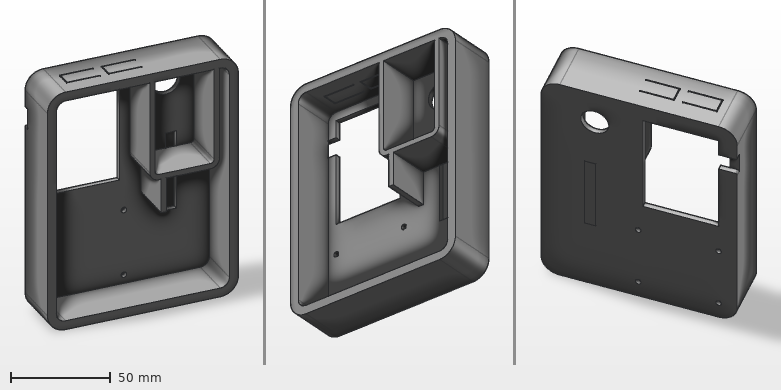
import cadquery as cq

DEPTH = 27.4
WIDTH = 105.0
HEIGHT = 135.0
CORNER_RADIUS = 10.0
WALL = 5.0
FACE = 3.0
TOP_INSIDE = HEIGHT - WALL

WINDOW_MARGIN = 10.0
WINDOW_WIDTH = 40.5
WINDOW_HEIGHT = 60.8

NOTCH_HEIGHT = 10.0
NOTCH_BELOW_WINDOW_TOP = 10.0
NOTCH_EDGE_RADIUS = 1.0

OPENING_DIAMETER = 15.0
OPENING_Y = 76.3
OPENING_Z = 115.0

MOUNT_DIAMETER = 3.0
MOUNT_Y = 10.0
MOUNT_Z = 9.9
MOUNT_PITCH_Y = 43.0
MOUNT_PITCH_Z = 36.7

SKIN = 0.1
POCKET_WIDTH = 6.1
POCKET_HEIGHT = 43.9
POCKET_Y = 75.9
POCKET_Z = 41.5

TAB_WIDTH = 8.9
TAB_LENGTH = 18.6
TAB_X = 9.7
TAB_Y = 14.5
TAB_PITCH = 23.0
SLIT = 0.5

ROOM_WALL = 3.0
ROOM_WIDTH = 38.3
ROOM_Y = 56.3
ROOM_Z = 74.0
ROOM_RADIUS = 5.0

RIB_THICKNESS = 3.0
RIB_Y = 62.5
RIB_Z = 55.0


def block(x_start, x_end, y_start, y_end, z_start, z_end):
    """A box between two limits on each axis."""
    size = (x_end - x_start, y_end - y_start, z_end - z_start)
    return cq.Workplane("XY").box(*size, centered=False).translate((x_start, y_start, z_start))


def face_hole(diameter, y, z):
    """A cylinder that cuts a round hole through the face."""
    return cq.Workplane("YZ").center(y, z).circle(diameter / 2).extrude(FACE)


def tray():
    outside = block(0, DEPTH, 0, WIDTH, 0, HEIGHT).edges("|X").fillet(CORNER_RADIUS)
    inside = block(FACE, DEPTH, WALL, WIDTH - WALL, WALL, TOP_INSIDE)
    return outside.cut(inside.edges("|X").fillet(CORNER_RADIUS - WALL))


def compartment():
    """Two side walls and a floor, rounded where they meet."""
    room_end = ROOM_Y + ROOM_WIDTH
    outside = block(FACE, DEPTH, ROOM_Y, room_end, ROOM_Z, TOP_INSIDE)
    inside = block(FACE, DEPTH, ROOM_Y + ROOM_WALL, room_end - ROOM_WALL, ROOM_Z + ROOM_WALL, TOP_INSIDE)
    outside = outside.edges("|X and <Z").fillet(ROOM_RADIUS)
    return outside.cut(inside.edges("|X and <Z").fillet(ROOM_RADIUS - ROOM_WALL))


def rib():
    """A plain rib that ends inside the compartment floor, clear of its rounded corner."""
    return block(FACE, DEPTH, RIB_Y, RIB_Y + RIB_THICKNESS, RIB_Z, ROOM_Z + ROOM_WALL / 2)


def window():
    top = HEIGHT - WINDOW_MARGIN
    return block(0, FACE, WINDOW_MARGIN, WINDOW_MARGIN + WINDOW_WIDTH, top - WINDOW_HEIGHT, top)


def notch():
    """The notch cutter, flared by rounded edges where it leaves the -Y wall."""
    top = HEIGHT - WINDOW_MARGIN - NOTCH_BELOW_WINDOW_TOP
    bottom = top - NOTCH_HEIGHT
    radius = NOTCH_EDGE_RADIUS
    outline = (
        cq.Workplane("YZ")
        .moveTo(WINDOW_MARGIN, bottom)
        .lineTo(radius, bottom)
        .radiusArc((0, bottom - radius), -radius)
        .lineTo(0, top + radius)
        .radiusArc((radius, top), -radius)
        .lineTo(WINDOW_MARGIN, top)
        .close()
    )
    return outline.extrude(FACE)


def skin_pocket():
    return block(SKIN, FACE, POCKET_Y, POCKET_Y + POCKET_WIDTH, POCKET_Z, POCKET_Z + POCKET_HEIGHT)


def tab_slit(y):
    """A U-shaped slit around a tab, closed at its -Y end."""
    x_end = TAB_X + TAB_WIDTH
    y_end = y + TAB_LENGTH
    around = block(TAB_X, x_end, y, y_end, TOP_INSIDE, HEIGHT)
    tab = block(TAB_X + SLIT, x_end - SLIT, y + SLIT, y_end, TOP_INSIDE, HEIGHT)
    return around.cut(tab)


result = tray().union(compartment()).union(rib())
result = result.cut(window()).cut(notch()).cut(skin_pocket())
result = result.cut(face_hole(OPENING_DIAMETER, OPENING_Y, OPENING_Z))

for hole_y in (MOUNT_Y, MOUNT_Y + MOUNT_PITCH_Y):
    for hole_z in (MOUNT_Z, MOUNT_Z + MOUNT_PITCH_Z):
        result = result.cut(face_hole(MOUNT_DIAMETER, hole_y, hole_z))

for slit_y in (TAB_Y, TAB_Y + TAB_PITCH):
    result = result.cut(tab_slit(slit_y))